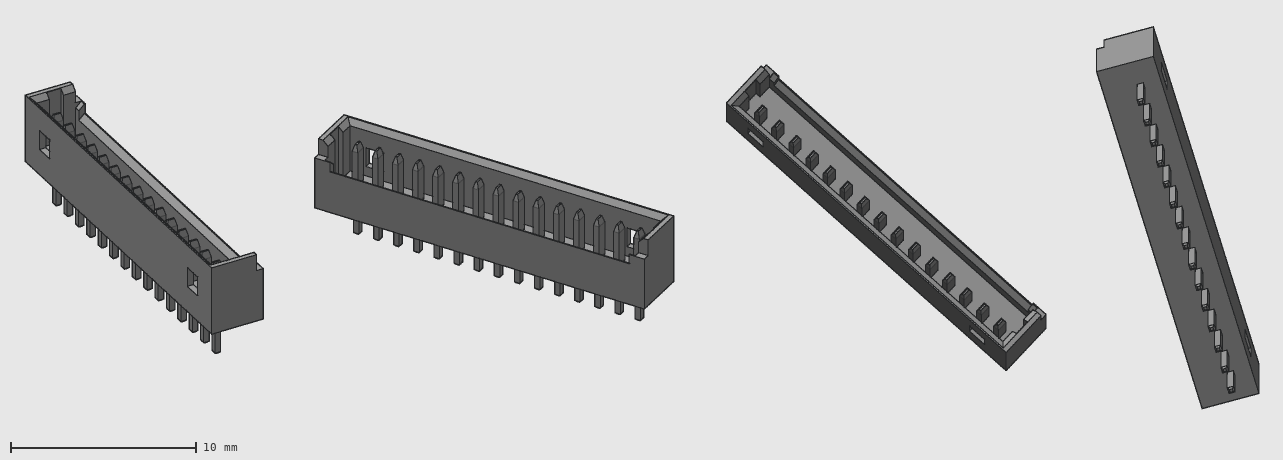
import cadquery as cq

length = 20.5
depth = 3.2
height = 4.2
floor_thickness = 1.0
lead_in = 0.3
end_wall = 0.6
front_wall = 0.39
back_wall = 0.4

post_height = 3.2
post_length = 0.35
back_height = 2.6
back_bevel_drop = 0.33
back_rim = 0.06

slot_width = 0.88
slot_depth = 0.29

window_width = 1.1
window_height = 1.19
window_bottom = 1.6
window_end_gap = 1.58

pin_count = 15
pin_end_gap = 1.5
pin_pitch = (length - 2 * pin_end_gap) / (pin_count - 1)
pin_y = 1.13
pin_width = 0.35
blade_depth = 0.62
blade_top = 3.48
blade_taper = 0.4
blade_tip_width = 0.1
blade_tip_depth = 0.4
tail_length = 2.3
tail_taper = 0.1
tail_tip_width = 0.16

cavity_length = length - 2 * end_wall
cavity_depth = depth - front_wall - back_wall
back_wall_y = depth - back_wall


def box(size_x, size_y, size_z, x_center, y_front, z_bottom):
    """Block centred on x_center that grows from y_front and z_bottom."""
    block = cq.Workplane("XY").box(size_x, size_y, size_z, centered=(True, False, False))
    return block.translate((x_center, y_front, z_bottom))


def frustum(bottom_size, bottom_z, top_size, top_z, x_center):
    """Tapered block on the pin line between two (X, Y) rectangles."""
    return (
        cq.Workplane("XY", origin=(x_center, pin_y, bottom_z))
        .rect(*bottom_size)
        .workplane(offset=top_z - bottom_z)
        .rect(*top_size)
        .loft(ruled=True)
    )


def back_cut(cut_length, outer_height):
    """Tool that trims the back wall to outer_height, sloping down to the cavity."""
    return (
        cq.Workplane("YZ")
        .moveTo(back_wall_y, outer_height - back_bevel_drop)
        .lineTo(depth - back_rim, outer_height)
        .lineTo(depth, outer_height)
        .lineTo(depth, height)
        .lineTo(back_wall_y, height)
        .close()
        .extrude(cut_length / 2, both=True)
    )


def lead_in_cut():
    """Bevel of the cavity mouth along the front and end walls."""
    bottom_z = height - lead_in
    return (
        cq.Workplane("XY", origin=(0, back_wall_y - cavity_depth / 2, bottom_z))
        .rect(cavity_length, cavity_depth)
        .workplane(offset=lead_in)
        .rect(cavity_length + 2 * lead_in, cavity_depth + 2 * lead_in)
        .loft(ruled=True)
    )


def make_housing():
    body = box(length, depth, height, 0, 0, 0)
    above_floor = height - floor_thickness
    body = body.cut(box(cavity_length, cavity_depth, above_floor, 0, front_wall, floor_thickness))
    body = body.cut(lead_in_cut())

    body = body.cut(box(length, back_wall, height - post_height, 0, back_wall_y, post_height))
    body = body.cut(back_cut(cavity_length, post_height))
    body = body.cut(back_cut(cavity_length - 2 * post_length, back_height))

    slot_y = (depth - slot_width) / 2
    slot_span = cavity_length + 2 * slot_depth
    body = body.cut(box(slot_span, slot_width, above_floor, 0, slot_y, floor_thickness))

    window_x = length / 2 - window_end_gap - window_width / 2
    for x in (-window_x, window_x):
        body = body.cut(box(window_width, front_wall, window_height, x, 0, window_bottom))
    return body


def make_pin(x):
    blade_size = (pin_width, blade_depth)
    tail_size = (pin_width, pin_width)
    blade_shoulder = blade_top - blade_taper
    tail_shoulder = tail_taper - tail_length

    root_z = floor_thickness / 2
    blade = box(*blade_size, blade_shoulder - root_z, x, pin_y - blade_depth / 2, root_z)
    tail = box(*tail_size, root_z - tail_shoulder, x, pin_y - pin_width / 2, tail_shoulder)
    blade_tip = frustum(blade_size, blade_shoulder, (blade_tip_width, blade_tip_depth), blade_top, x)
    tail_tip = frustum((tail_tip_width, tail_tip_width), -tail_length, tail_size, tail_shoulder, x)
    return blade.union(tail).union(blade_tip).union(tail_tip)


result = make_housing()
for index in range(pin_count):
    result = result.union(make_pin(pin_end_gap - length / 2 + index * pin_pitch))